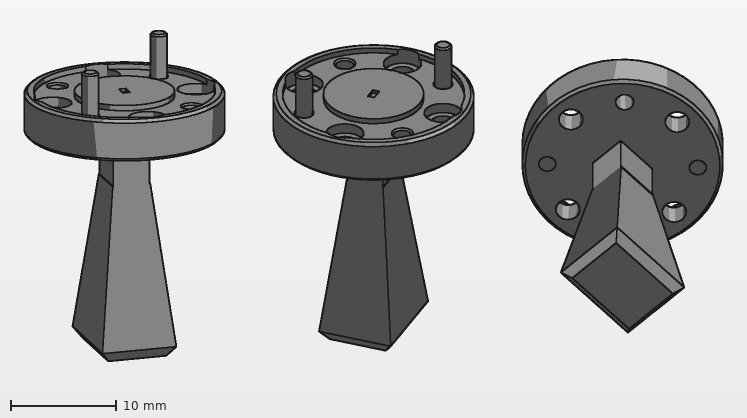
import cadquery as cq
import math

flange_diameter = 19.05
flange_bottom = 21.35
flange_top = 25.46
flange_chamfer = 0.3

recess_diameter = 17.27
boss_diameter = 9.5
recess_depth = 0.53
recess_floor = flange_top - recess_depth

bolt_circle_radius = 7.15
screw_hole_diameter = 2.25
counterbore_diameter = 3.57
counterbore_depth = 1.0
alignment_hole_diameter = 1.7
alignment_hole_chamfer = 0.18
alignment_hole_angles = (45, 225)
pin_angles = (135, 315)

pin_diameter = 1.6
pin_top = 29.27
pin_chamfer = 0.18
pin_hole_chamfer = 0.12

waveguide_width = 1.25
waveguide_height = 0.65
waveguide_depth = 0.3

throat_section = (4.33, 3.63)
taper_top_section = (4.33, 3.75)
mouth_section = (9.28, 7.38)
tip_section = (7.85, 5.75)
throat_bottom = 16.75
mouth_height = 1.05


def on_bolt_circle(angle):
    """X and Y of a point on the bolt circle, angle in degrees."""
    turn = math.radians(angle)
    return bolt_circle_radius * math.cos(turn), bolt_circle_radius * math.sin(turn)


def cylinder(diameter, bottom, top, center=(0, 0)):
    return (
        cq.Workplane("XY", origin=(*center, bottom))
        .circle(diameter / 2)
        .extrude(top - bottom)
    )


def tapered_block(bottom_section, bottom, top_section, top):
    return (
        cq.Workplane("XY", origin=(0, 0, bottom))
        .rect(*bottom_section)
        .workplane(offset=top - bottom)
        .rect(*top_section)
        .loft(ruled=True)
    )


def make_flange():
    disc = cylinder(flange_diameter, flange_bottom, flange_top)
    disc = disc.faces("<Z or >Z").chamfer(flange_chamfer)
    recess = cylinder(recess_diameter, recess_floor, flange_top)
    boss = cylinder(boss_diameter, recess_floor, flange_top)
    return disc.cut(recess.cut(boss))


def make_horn():
    throat = (
        cq.Workplane("XY", origin=(0, 0, throat_bottom))
        .rect(*throat_section)
        .extrude(flange_bottom - throat_bottom)
    )
    taper = tapered_block(mouth_section, mouth_height, taper_top_section, throat_bottom)
    tip = tapered_block(tip_section, 0, mouth_section, mouth_height)
    return throat.union(taper).union(tip)


def screw_hole(angle):
    center = on_bolt_circle(angle)
    counterbore_floor = recess_floor - counterbore_depth
    hole = cylinder(screw_hole_diameter, flange_bottom, flange_top, center)
    return hole.union(cylinder(counterbore_diameter, counterbore_floor, flange_top, center))


def chamfered_hole(angle, diameter, chamfer):
    """Hole through the flange with a countersunk edge at the recess floor."""
    center = on_bolt_circle(angle)
    hole = cylinder(diameter, flange_bottom, recess_floor, center)
    countersink = (
        cq.Workplane("XY", origin=(*center, recess_floor - chamfer))
        .circle(diameter / 2)
        .workplane(offset=chamfer)
        .circle(diameter / 2 + chamfer)
        .loft()
    )
    return hole.union(countersink)


def make_housing():
    housing = make_flange().union(make_horn())
    for angle in range(0, 360, 90):
        housing = housing.cut(screw_hole(angle))
    for angle in alignment_hole_angles:
        housing = housing.cut(chamfered_hole(angle, alignment_hole_diameter, alignment_hole_chamfer))
    for angle in pin_angles:
        housing = housing.cut(chamfered_hole(angle, pin_diameter, pin_hole_chamfer))
    waveguide = (
        cq.Workplane("XY", origin=(0, 0, flange_top - waveguide_depth))
        .rect(waveguide_width, waveguide_height)
        .extrude(waveguide_depth)
    )
    return housing.cut(waveguide)


def make_pin(angle):
    pin = cylinder(pin_diameter, flange_bottom, pin_top, on_bolt_circle(angle))
    return pin.faces(">Z").chamfer(pin_chamfer)


housing = make_housing()
pins = [make_pin(angle) for angle in pin_angles]

result = cq.Compound.makeCompound([housing.val(), *[pin.val() for pin in pins]])